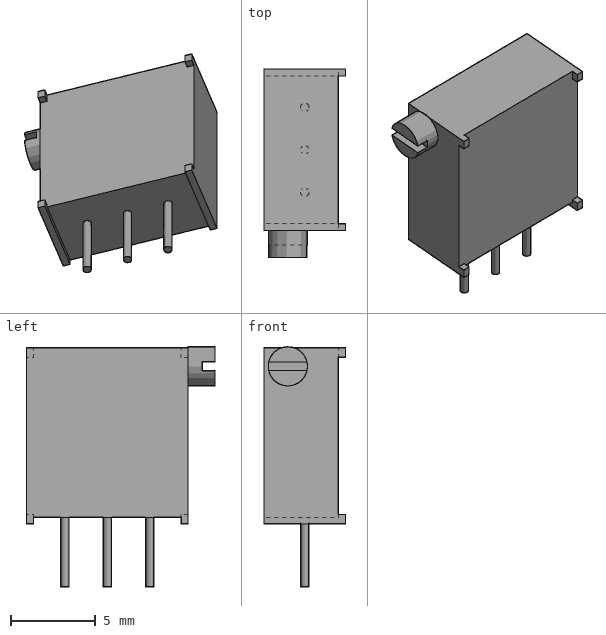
import cadquery as cq


total_height = 14.13
total_depth = 11.1

housing_width = 4.8
housing_depth = 9.52
housing_height = 10.37
standoff_base = 3.7

pad_projection = 0.42
pad_depth = 0.42
pad_height = 0.57

foot_depth = 0.42
foot_height = 0.38

screw_diameter = 2.3
screw_side_margin = 0.25
slot_width = 0.51
slot_depth = 0.75

pin_diameter = 0.5
pin_pitch = 2.5
pin_count = 3

front_y = -housing_depth / 2
core_width = housing_width - pad_projection
underside_z = standoff_base + foot_height
housing_top = standoff_base + housing_height
screw_length = total_depth - housing_depth
screw_radius = screw_diameter / 2
screw_x = screw_side_margin + screw_radius
screw_z = total_height - screw_radius
pin_x = housing_width / 2


def box_from_corner(x, y, z, width, depth, height):
    """Box with its lowest corner at (x, y, z)."""
    return cq.Workplane("XY").box(width, depth, height, centered=False).translate((x, y, z))


def make_housing():
    """Block with a recessed underside between two foot rails and four pads on the +X face."""
    body = box_from_corner(0, front_y, standoff_base, core_width, housing_depth, housing_height)

    for y in (front_y, -front_y - pad_depth):
        for z in (standoff_base, housing_top - pad_height):
            pad = box_from_corner(core_width, y, z, pad_projection, pad_depth, pad_height)
            body = body.union(pad)

    underside_recess = box_from_corner(
        0, front_y + foot_depth, standoff_base,
        housing_width, housing_depth - 2 * foot_depth, foot_height,
    )
    return body.cut(underside_recess)


def make_screw():
    """Round screw head standing on the -Y face, with a driver slot along X across its end."""
    head = (
        cq.Workplane("XZ", origin=(screw_x, front_y, screw_z))
        .circle(screw_radius)
        .extrude(screw_length)
    )
    slot = box_from_corner(
        screw_x - screw_radius, front_y - screw_length, screw_z - slot_width / 2,
        screw_diameter, slot_depth, slot_width,
    )
    return head.cut(slot)


def make_pin(y):
    """Straight round lead from its tip up to the recessed underside."""
    return (
        cq.Workplane("XY", origin=(pin_x, y, 0))
        .circle(pin_diameter / 2)
        .extrude(underside_z)
    )


housing = make_housing()
screw = make_screw()

pins = []
for index in range(pin_count):
    pin_y = (index - (pin_count - 1) / 2) * pin_pitch
    pins.append(make_pin(pin_y).val())

result = cq.Compound.makeCompound([housing.val(), screw.val(), *pins])